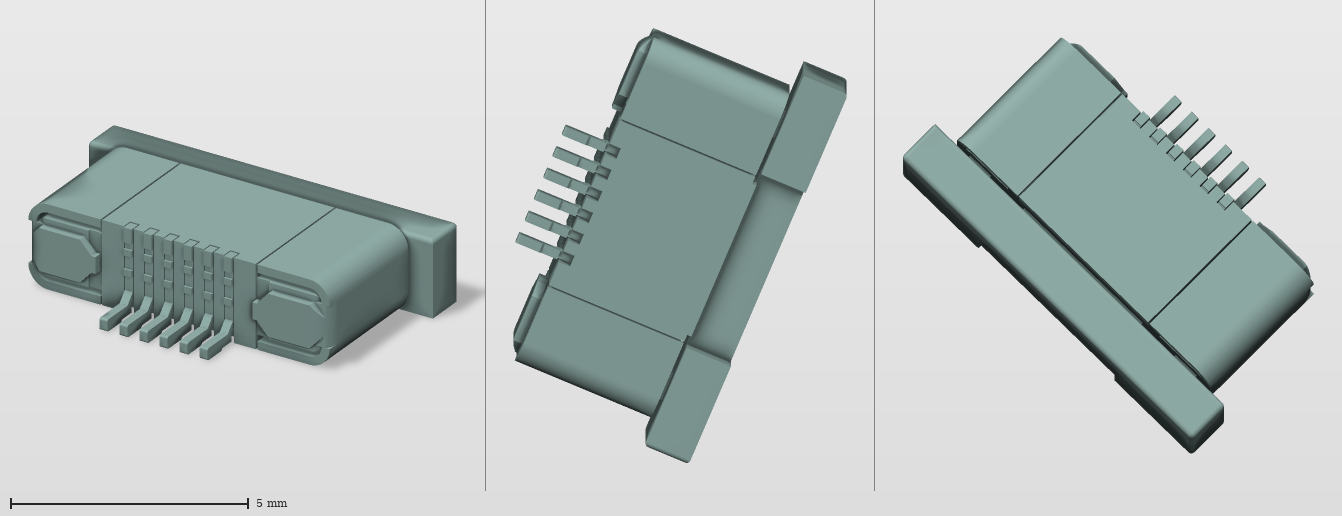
import cadquery as cq
import math

height = 2.01
mid_z = height / 2
body_depth = 3.1
front_y = -body_depth

core_half_width = 1.91
pin_count = 6
pin_pitch = 0.5
pin_width = 0.2
slot_clearance = 0.03
slot_width = pin_width + 2 * slot_clearance
slot_depth = 0.26

sheet = 0.2
shell_gap = 0.04
shell_inner_edge = core_half_width + shell_gap
shell_outer = 3.75
bend_radius = 0.5
inner_bend_radius = bend_radius - sheet
bend_center_x = shell_outer - bend_radius
shell_inner_side = shell_outer - sheet
side_half_height = mid_z - bend_radius
outer_diagonal = bend_radius * math.sqrt(0.5)
inner_diagonal = inner_bend_radius * math.sqrt(0.5)

tab_front_y = front_y - sheet
tab_taper = 0.28
tab_neck_length = 0.1
tab_neck_half_height = 0.2

ear_half_height = 0.67
ear_z = 1.0
ear_end_gap = 0.05
ear_outer = 3.49
ear_step_x = 2.245
ear_corner_radius = 0.17
ear_edge_radius = 0.19

bar_length = 8.6
bar_height = 1.84
bar_depth = 1.015
bar_gap = 0.095
bar_edge_radius = 0.1
cable_half_width = 2.01
cable_ceiling = 0.64
neck_top = 1.36
neck_bottom_at_core = 0.79
tongue_half_width = 1.755
arm_inner = 2.73
arm_outer = 3.35
lip_top = 0.59

pin_back_y = front_y + slot_depth
pin_notch = 0.05
ridge_height = 0.05
pin_ridge_y = front_y - ridge_height
pin_tip_y = -4.09
foot_top = 0.28
foot_raise = 0.05
foot_contact_y = -3.56
foot_tip_radius = 0.05
slope_end_y = -3.3
slope_top = 0.52
lower_ridge = (0.88, 1.03)
upper_ridge = (1.35, 1.505)
head_bottom = 1.66


def block(x_range, y_range, z_range):
    """Box between two limits along each axis."""
    size = [high - low for low, high in (x_range, y_range, z_range)]
    corner = (x_range[0], y_range[0], z_range[0])
    return cq.Workplane("XY").box(*size, centered=False).translate(corner)


def both_sides(shape):
    """The +X shape together with its mirror image on the -X side."""
    return shape.union(shape.mirror("YZ"))


def pin_positions():
    return [(i - (pin_count - 1) / 2) * pin_pitch for i in range(pin_count)]


def make_core():
    core = block((-core_half_width, core_half_width), (front_y, 0), (0, height))
    for x in pin_positions():
        slot_x = (x - slot_width / 2, x + slot_width / 2)
        core = core.cut(block(slot_x, (front_y, front_y + slot_depth), (0, height)))
    return core


def make_shell_channel():
    """C-section sheet, cut back where the side wall starts to bend into the tab."""
    low_z = bend_radius
    high_z = height - bend_radius
    channel = (
        cq.Workplane("XZ")
        .moveTo(shell_inner_edge, 0)
        .lineTo(bend_center_x, 0)
        .threePointArc((bend_center_x + outer_diagonal, low_z - outer_diagonal), (shell_outer, low_z))
        .lineTo(shell_outer, high_z)
        .threePointArc((bend_center_x + outer_diagonal, high_z + outer_diagonal), (bend_center_x, height))
        .lineTo(shell_inner_edge, height)
        .lineTo(shell_inner_edge, height - sheet)
        .lineTo(bend_center_x, height - sheet)
        .threePointArc((bend_center_x + inner_diagonal, high_z + inner_diagonal), (shell_inner_side, high_z))
        .lineTo(shell_inner_side, low_z)
        .threePointArc((bend_center_x + inner_diagonal, low_z - inner_diagonal), (bend_center_x, sheet))
        .lineTo(shell_inner_edge, sheet)
        .close()
        .extrude(body_depth)
    )
    bend_zone = block(
        (shell_inner_side, shell_outer), (front_y, tab_front_y + bend_radius), (low_z, high_z)
    )
    return channel.cut(bend_zone)


def make_shell_tab():
    """Strip folded from the side wall across the front, tapered at its root and its end."""
    bend_center_y = tab_front_y + bend_radius
    strip = (
        cq.Workplane("XY", origin=(0, 0, mid_z - side_half_height))
        .moveTo(shell_outer, bend_center_y)
        .threePointArc(
            (bend_center_x + outer_diagonal, bend_center_y - outer_diagonal),
            (bend_center_x, tab_front_y),
        )
        .lineTo(shell_inner_edge, tab_front_y)
        .lineTo(shell_inner_edge, front_y)
        .lineTo(bend_center_x, front_y)
        .threePointArc(
            (bend_center_x + inner_diagonal, bend_center_y - inner_diagonal),
            (shell_inner_side, bend_center_y),
        )
        .close()
        .extrude(2 * side_half_height)
    )
    root_x = bend_center_x + math.sqrt(bend_radius**2 - (bend_center_y - front_y) ** 2)
    neck_x = shell_inner_edge + tab_neck_length
    outline = [
        (shell_inner_edge, tab_neck_half_height),
        (neck_x, tab_neck_half_height),
        (neck_x + tab_taper, side_half_height),
        (root_x - tab_taper, side_half_height),
        (root_x, tab_neck_half_height),
    ]
    mirrored_outline = [(x, -z) for x, z in reversed(outline)]
    tab_area = (
        cq.Workplane("XZ", origin=(0, front_y, mid_z))
        .polyline(outline + mirrored_outline)
        .close()
        .extrude(front_y - tab_front_y)
    )
    bend_area = block((bend_center_x, shell_outer), (front_y, bend_center_y), (0, height))
    return strip.intersect(tab_area.union(bend_area))


def make_ear():
    """Thin web beside the core and a wider lug whose outer edges are rounded to clear the shell."""
    z_range = (ear_z - ear_half_height, ear_z + ear_half_height)
    web = block((core_half_width, ear_step_x), (front_y + ear_end_gap, -ear_end_gap), z_range)
    lug = block((ear_step_x, ear_outer), (front_y, 0), z_range)
    long_edges_rounded = lug.edges(">X and |Y").fillet(ear_corner_radius)
    front_edge_rounded = lug.edges(">X and <Y").fillet(ear_edge_radius)
    return web.union(long_edges_rounded.intersect(front_edge_rounded))


def make_bar():
    """Bar open underneath for the cable; three lower edges and the +X front edge stay square."""
    half_length = bar_length / 2
    y_range = (bar_gap, bar_gap + bar_depth)
    bar = block((-half_length, half_length), y_range, (0, bar_height))
    bar = bar.edges(">Z or (<X and <Z) or (<X and |Z) or (>Y and |Z)").fillet(bar_edge_radius)
    return bar.cut(block((-cable_half_width, cable_half_width), y_range, (0, cable_ceiling)))


def make_neck(x_low, x_high):
    """Link from the bar to the body, with a sloped underside leading the cable in."""
    return (
        cq.Workplane("YZ", origin=(x_low, 0, 0))
        .polyline([
            (0, neck_top),
            (bar_gap, neck_top),
            (bar_gap, cable_ceiling),
            (0, neck_bottom_at_core),
        ])
        .close()
        .extrude(x_high - x_low)
    )


def make_housing():
    side = make_shell_channel().union(make_shell_tab()).union(make_ear())
    side = side.union(make_neck(arm_inner, arm_outer))
    tongue = make_neck(-tongue_half_width, tongue_half_width)
    lip = block((-tongue_half_width, tongue_half_width), (0, bar_gap), (0, lip_top))
    return make_core().union(both_sides(side)).union(make_bar()).union(tongue).union(lip)


def make_pin(x):
    """Stem at the back of its slot, with two ridges and a head, sloping into a foot."""
    profile = [
        (pin_back_y, height - pin_notch),
        (pin_back_y - pin_notch, height - pin_notch),
        (pin_back_y - pin_notch, height),
        (pin_ridge_y, height),
        (pin_ridge_y, head_bottom),
        (front_y, head_bottom),
    ]
    for bottom, top in (upper_ridge, lower_ridge):
        profile += [(front_y, top), (pin_ridge_y, top), (pin_ridge_y, bottom), (front_y, bottom)]
    profile += [
        (front_y, slope_top),
        (slope_end_y, foot_top),
        (pin_tip_y, foot_top),
        (pin_tip_y, 0),
        (foot_contact_y, 0),
        (foot_contact_y + foot_raise, foot_raise),
        (pin_ridge_y, foot_raise),
        (pin_ridge_y, foot_top),
        (pin_back_y, foot_top),
    ]
    pin = (
        cq.Workplane("YZ", origin=(x - pin_width / 2, 0, 0))
        .polyline(profile)
        .close()
        .extrude(pin_width)
    )
    return pin.edges("<Y and |X").fillet(foot_tip_radius)


housing = make_housing()
pins = [make_pin(x) for x in pin_positions()]

result = cq.Compound.makeCompound([housing.val(), *[pin.val() for pin in pins]])